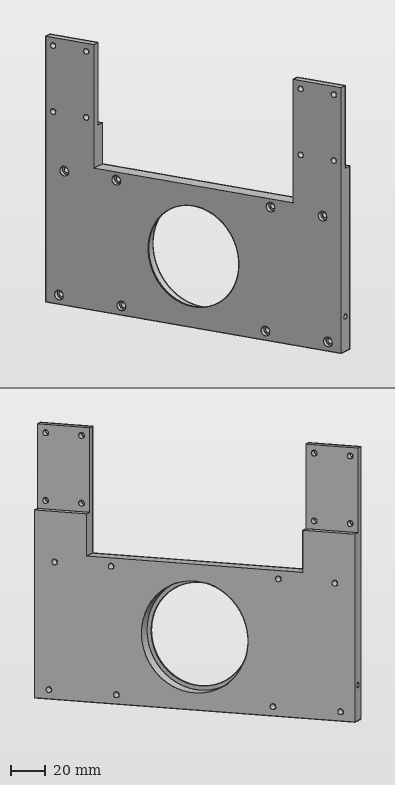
import cadquery as cq

WIDTH = 199.0
HEIGHT = 161.0
THICKNESS = 10.0

ARM_WIDTH = 32.5
NOTCH_FLOOR = 86.2

ARM_STEP_HEIGHT = 111.0
ARM_THICKNESS = 5.0

WINDOW_DIAMETER = 61.0
WINDOW_BORE_DIAMETER = 66.0
WINDOW_LIP_THICKNESS = 1.0
WINDOW_HEIGHT = 43.2

ARM_HOLE_DIAMETER = 3.4
ARM_HOLE_INSETS = (5.0, 27.3)
ARM_HOLE_HEIGHTS = (116.0, 156.0)

SCREW_HOLE_DIAMETER = 3.4
COUNTERBORE_DIAMETER = 5.8
COUNTERBORE_DEPTH = 3.0
UPPER_SCREW_OFFSETS = (52.0, 87.0)
UPPER_SCREW_HEIGHT = 81.2
LOWER_SCREW_OFFSETS = (48.5, 90.5)
LOWER_SCREW_HEIGHT = 5.5

SIDE_HOLE_DIAMETER = 3.2
SIDE_HOLE_DEPTH = 10.0
SIDE_HOLE_HEIGHT = 21.0


def mirrored(offsets, height):
    """Points at one height on both sides of the centre line."""
    return [(side * offset, height) for side in (-1, 1) for offset in offsets]


def make_plate():
    """U-shaped plate with the upper arms thinned from the back."""
    plate = cq.Workplane("XY").box(WIDTH, THICKNESS, HEIGHT, centered=(True, False, False))
    notch = (
        cq.Workplane("XY", origin=(0, 0, NOTCH_FLOOR))
        .box(WIDTH - 2 * ARM_WIDTH, THICKNESS, HEIGHT - NOTCH_FLOOR, centered=(True, False, False))
    )
    back_step = (
        cq.Workplane("XY", origin=(0, ARM_THICKNESS, ARM_STEP_HEIGHT))
        .box(WIDTH, THICKNESS - ARM_THICKNESS, HEIGHT - ARM_STEP_HEIGHT, centered=(True, False, False))
    )
    return plate.cut(notch).cut(back_step)


def front_bores(points, diameter, depth, start=0):
    """Round cutters running back from a start depth behind the front face."""
    return cq.Workplane("XZ", origin=(0, start, 0)).pushPoints(points).circle(diameter / 2).extrude(-depth)


def side_bores():
    """Round cutters entering both side edges at mid thickness."""
    left = (
        cq.Workplane("YZ", origin=(-WIDTH / 2, 0, 0))
        .center(THICKNESS / 2, SIDE_HOLE_HEIGHT)
        .circle(SIDE_HOLE_DIAMETER / 2)
        .extrude(SIDE_HOLE_DEPTH)
    )
    return left.union(left.mirror("YZ"))


arm_hole_offsets = [WIDTH / 2 - inset for inset in ARM_HOLE_INSETS]
arm_holes = [point for height in ARM_HOLE_HEIGHTS for point in mirrored(arm_hole_offsets, height)]
screw_holes = (
    mirrored(UPPER_SCREW_OFFSETS, UPPER_SCREW_HEIGHT)
    + mirrored(LOWER_SCREW_OFFSETS, LOWER_SCREW_HEIGHT)
)

window_centre = [(0, WINDOW_HEIGHT)]
window_bore_depth = THICKNESS - WINDOW_LIP_THICKNESS

result = (
    make_plate()
    .cut(front_bores(window_centre, WINDOW_DIAMETER, THICKNESS))
    .cut(front_bores(window_centre, WINDOW_BORE_DIAMETER, window_bore_depth, WINDOW_LIP_THICKNESS))
    .cut(front_bores(arm_holes, ARM_HOLE_DIAMETER, THICKNESS))
    .cut(front_bores(screw_holes, SCREW_HOLE_DIAMETER, THICKNESS))
    .cut(front_bores(screw_holes, COUNTERBORE_DIAMETER, COUNTERBORE_DEPTH))
    .cut(side_bores())
)